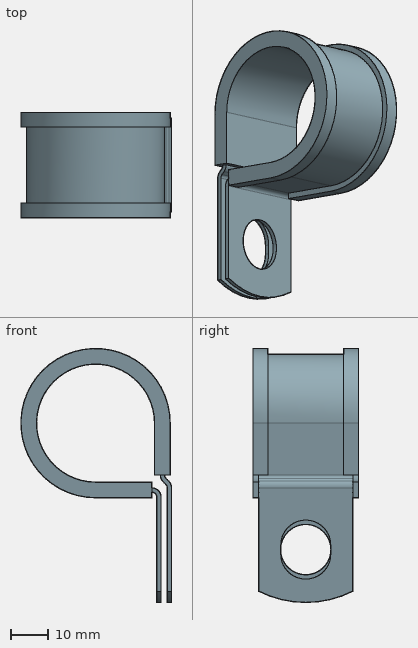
import cadquery as cq
import math


cushion_inner_radius = 15.875
cushion_outer_radius = 20.15
cushion_width = 28.45
rim_width = 4.0
side_leg_length = 14.0
bottom_leg_length = 15.2

strap_thickness = 1.2
strap_width = 25.4
strap_outer_radius = 18.65
strap_inner_radius = strap_outer_radius - strap_thickness
bend_inner_radius = 1.3
bend_outer_radius = bend_inner_radius + strap_thickness

tab_bottom_z = -48.38
tab_outer_x = 20.51
tab_end_radius = 28.0
hole_diameter = 13.5
slot_length = 15.9
hole_center_z = -34.1
bottom_tab_outer_x = bottom_leg_length + bend_outer_radius
tab_gap_middle_x = (bottom_tab_outer_x + tab_outer_x - strap_thickness) / 2

jog_angle = math.radians(45)


def extrude_across(outline, width):
    """Extrude a closed XZ outline symmetrically about the Y = 0 plane."""
    return outline.extrude(width / 2, both=True)


def loop_band(inner_radius, outer_radius, width):
    """Three-quarter ring with a straight tangent leg at each end."""
    diagonal = math.sqrt(0.5)
    outline = (
        cq.Workplane("XZ")
        .moveTo(outer_radius, -side_leg_length)
        .lineTo(outer_radius, 0)
        .threePointArc((-outer_radius * diagonal, outer_radius * diagonal), (0, -outer_radius))
        .lineTo(bottom_leg_length, -outer_radius)
        .lineTo(bottom_leg_length, -inner_radius)
        .lineTo(0, -inner_radius)
        .threePointArc((-inner_radius * diagonal, inner_radius * diagonal), (inner_radius, 0))
        .lineTo(inner_radius, -side_leg_length)
        .close()
    )
    return extrude_across(outline, width)


def cushion():
    """Rubber lining with a raised rim along each edge; the strap lies between the rims."""
    body = loop_band(cushion_inner_radius, cushion_outer_radius, cushion_width)
    channel_width = cushion_width - 2 * rim_width
    return body.cut(loop_band(strap_outer_radius, cushion_outer_radius, channel_width))


def bottom_tab():
    """Tab that leaves the bottom leg and turns 90 degrees downward."""
    bend_center_z = -strap_inner_radius - bend_outer_radius
    inner_x = bottom_leg_length + bend_inner_radius
    outline = (
        cq.Workplane("XZ")
        .moveTo(bottom_leg_length, -strap_inner_radius)
        .radiusArc((bottom_tab_outer_x, bend_center_z), bend_outer_radius)
        .lineTo(bottom_tab_outer_x, tab_bottom_z)
        .lineTo(inner_x, tab_bottom_z)
        .lineTo(inner_x, bend_center_z)
        .radiusArc((bottom_leg_length, -strap_outer_radius), -bend_inner_radius)
        .close()
    )
    return extrude_across(outline, strap_width)


def side_tab():
    """Tab that leaves the side leg, jogs outward at 45 degrees and runs straight down."""
    cosine = math.cos(jog_angle)
    sine = math.sin(jog_angle)
    upper_center_x = strap_outer_radius + bend_inner_radius
    upper_center_z = -side_leg_length
    lower_center_x = tab_outer_x - bend_outer_radius
    jog_shift = tab_outer_x - strap_outer_radius
    bends_shift = (bend_inner_radius + bend_outer_radius) * (1 - cosine)
    slant_drop = (jog_shift - bends_shift) / math.tan(jog_angle)
    lower_center_z = upper_center_z - (bend_inner_radius + bend_outer_radius) * sine - slant_drop
    tab_inner_x = tab_outer_x - strap_thickness

    def upper_bend_end(radius):
        return (upper_center_x - radius * cosine, upper_center_z - radius * sine)

    def lower_bend_start(radius):
        return (lower_center_x + radius * cosine, lower_center_z + radius * sine)

    outline = (
        cq.Workplane("XZ")
        .moveTo(strap_outer_radius, upper_center_z)
        .radiusArc(upper_bend_end(bend_inner_radius), -bend_inner_radius)
        .lineTo(*lower_bend_start(bend_outer_radius))
        .radiusArc((tab_outer_x, lower_center_z), bend_outer_radius)
        .lineTo(tab_outer_x, tab_bottom_z)
        .lineTo(tab_inner_x, tab_bottom_z)
        .lineTo(tab_inner_x, lower_center_z)
        .radiusArc(lower_bend_start(bend_inner_radius), -bend_inner_radius)
        .lineTo(*upper_bend_end(bend_outer_radius))
        .radiusArc((strap_inner_radius, upper_center_z), bend_outer_radius)
        .close()
    )
    return extrude_across(outline, strap_width)


def tab_trim():
    """Plate across both tabs whose rounded lower edge shapes the tab ends."""
    half_width = strap_width / 2
    rise = tab_end_radius - math.sqrt(tab_end_radius**2 - half_width**2)
    corner_z = tab_bottom_z + rise
    return (
        cq.Workplane("YZ")
        .moveTo(-half_width, 0)
        .lineTo(-half_width, corner_z)
        .threePointArc((0, tab_bottom_z), (half_width, corner_z))
        .lineTo(half_width, 0)
        .close()
        .extrude(tab_outer_x)
    )


def bolt_hole():
    """Round bolt hole along X through the bottom tab, ending midway between the tabs."""
    return (
        cq.Workplane("YZ")
        .center(0, hole_center_z)
        .circle(hole_diameter / 2)
        .extrude(tab_gap_middle_x)
    )


def bolt_slot():
    """Upright slot along X through the side tab, as wide as the bolt hole but taller."""
    return (
        cq.Workplane("YZ", origin=(tab_gap_middle_x, 0, 0))
        .center(0, hole_center_z)
        .slot2D(slot_length, hole_diameter, 90)
        .extrude(tab_outer_x - tab_gap_middle_x)
    )


tabs = bottom_tab().union(side_tab()).intersect(tab_trim()).cut(bolt_hole()).cut(bolt_slot())
strap = loop_band(strap_inner_radius, strap_outer_radius, strap_width)
result = cushion().union(strap).union(tabs)